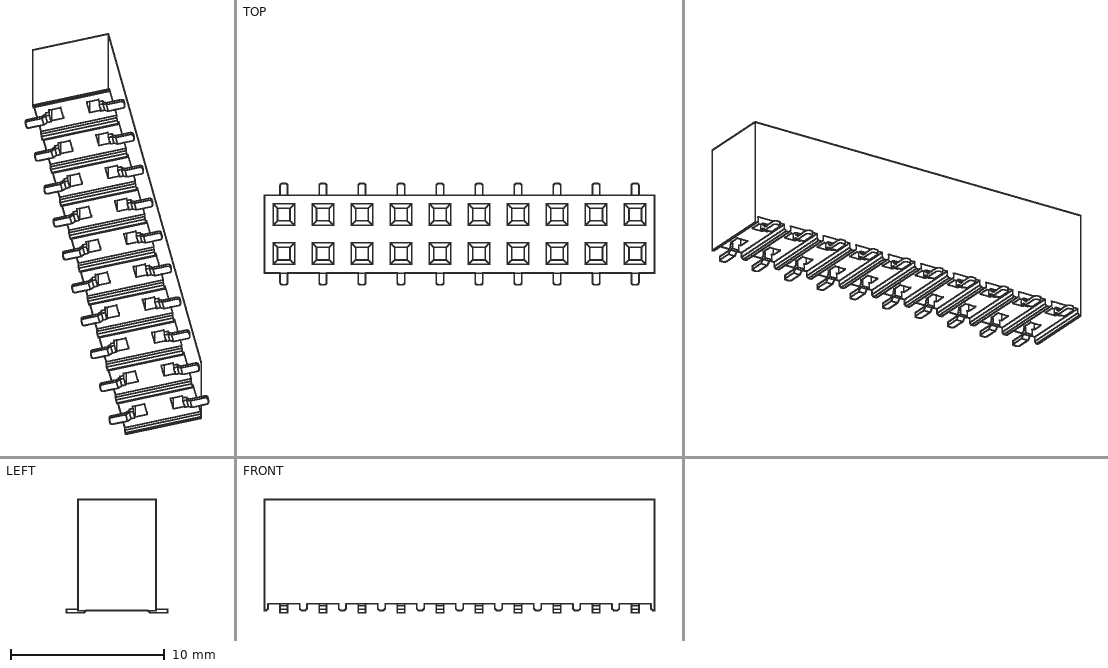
import cadquery as cq

columns = 10
pitch = 2.54
row_offsets = (-pitch / 2, pitch / 2)

overall_height = 7.4
body_length = columns * pitch
body_width = 2 * pitch
standoff_bottom = 0.15
slot_ceiling = 0.6

rib_width = 0.5
rib_chamfer = 0.13

socket_width = 0.8
socket_mouth_width = 1.4
lead_in_depth = 0.28

lead_span = 6.6
lead_width = 0.5
lead_thickness = 0.25
lead_tip_radius = 0.16
foot_heel = 2.16
bend_rise = 0.22
bend_run = 0.24
stem_embed = 0.2

column_positions = [(i - (columns - 1) / 2) * pitch for i in range(columns)]


def make_housing():
    """Solid block whose underside stands on the ribs."""
    base = cq.Workplane("XY", origin=(0, 0, standoff_bottom)).rect(body_length, body_width)
    return base.extrude(overall_height - standoff_bottom)


def make_slot(x):
    """Cross slot below one contact pair, flared at the bottom to chamfer the adjoining ribs."""
    half_slot = (pitch - rib_width) / 2
    half_flare = half_slot + rib_chamfer
    flare_top = standoff_bottom + rib_chamfer
    return (
        cq.Workplane("XZ")
        .moveTo(x - half_flare, standoff_bottom)
        .lineTo(x + half_flare, standoff_bottom)
        .lineTo(x + half_slot, flare_top)
        .lineTo(x + half_slot, slot_ceiling)
        .lineTo(x - half_slot, slot_ceiling)
        .lineTo(x - half_slot, flare_top)
        .close()
        .extrude(body_width / 2, both=True)
    )


def make_socket(x, y):
    """Through hole with a pyramidal lead-in at the top face."""
    through_hole = cq.Workplane("XY").center(x, y).rect(socket_width, socket_width).extrude(overall_height)
    lead_in = (
        cq.Workplane("XY", origin=(x, y, overall_height))
        .rect(socket_mouth_width, socket_mouth_width)
        .workplane(offset=-lead_in_depth)
        .rect(socket_width, socket_width)
        .loft(ruled=True)
    )
    return through_hole.union(lead_in)


def make_lead(x):
    """Bent strip at the +Y side: flat foot, sloped bend and upright stem."""
    tip = lead_span / 2
    stem_outer = foot_heel - bend_run
    stem_inner = stem_outer - lead_thickness
    stem_top = slot_ceiling + stem_embed
    strip = (
        cq.Workplane("YZ", origin=(x, 0, 0))
        .moveTo(tip, 0)
        .lineTo(tip, lead_thickness)
        .lineTo(foot_heel, lead_thickness)
        .lineTo(stem_outer, lead_thickness + bend_rise)
        .lineTo(stem_outer, stem_top)
        .lineTo(stem_inner, stem_top)
        .lineTo(stem_inner, bend_rise)
        .lineTo(stem_outer, bend_rise)
        .lineTo(foot_heel, 0)
        .close()
        .extrude(lead_width / 2, both=True)
    )
    return strip.faces(">Y").edges("|Z").fillet(lead_tip_radius)


result = make_housing()
for column_x in column_positions:
    result = result.cut(make_slot(column_x))
    for row_y in row_offsets:
        result = result.cut(make_socket(column_x, row_y))
    lead = make_lead(column_x)
    result = result.union(lead).union(lead.mirror("XZ"))